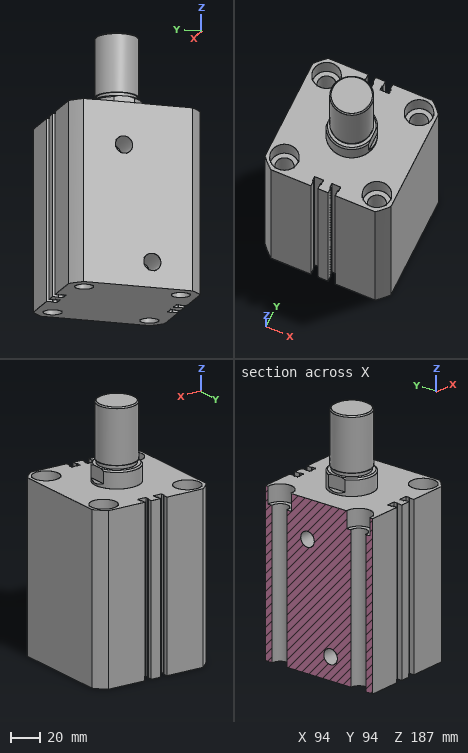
import cadquery as cq

HOUSING_WIDTH = 94.0
HOUSING_HEIGHT = 129.0
CORNER_CIRCLE_DIAMETER = 122.1

MOUNT_PITCH = 69.0
MOUNT_DIAMETER = 12.9
COUNTERBORE_DIAMETER = 20.0
COUNTERBORE_DEPTH = 13.0

GROOVE_PITCH = 12.9
GROOVE_DEPTH = 7.5
GROOVE_MOUTH_WIDTH = 5.2
GROOVE_MOUTH_DEPTH = 4.3
GROOVE_FLOOR_WIDTH = 6.5

PORT_FLOOR_DIAMETER = 10.8
PORT_RIM_DIAMETER = 12.2
PORT_DEPTH = 24.0
PORT_OFFSET = 10.1
UPPER_PORT_DROP = 30.1
LOWER_PORT_HEIGHT = 18.0

OVERALL_HEIGHT = 187.0
COLLAR_DIAMETER = 35.2
COLLAR_HEIGHT = 13.0
COLLAR_CHAMFER = 1.1
NECK_DIAMETER = 28.0
NECK_HEIGHT = 2.8
STUD_DIAMETER = 30.0
STUD_CHAMFER = 1.0
FLAT_SPACING = 32.0
FLAT_HEIGHT = 10.1


def housing_block():
    """Square block whose corners are arcs around the housing axis."""
    block = cq.Workplane("XY").rect(HOUSING_WIDTH, HOUSING_WIDTH).extrude(HOUSING_HEIGHT)
    corner_circle = cq.Workplane("XY").circle(CORNER_CIRCLE_DIAMETER / 2)
    return block.intersect(corner_circle.extrude(HOUSING_HEIGHT))


def groove_cutters():
    """Four full-height T grooves, open towards +Y and -Y."""
    half = HOUSING_WIDTH / 2
    floor_depth = GROOVE_DEPTH - GROOVE_MOUTH_DEPTH
    cutters = cq.Workplane("XY")
    for side in (-1, 1):
        mouth_y = side * (half - GROOVE_DEPTH / 2)
        floor_y = side * (half - GROOVE_MOUTH_DEPTH - floor_depth / 2)
        for x in (-GROOVE_PITCH / 2, GROOVE_PITCH / 2):
            mouth = cq.Workplane("XY").center(x, mouth_y).rect(GROOVE_MOUTH_WIDTH, GROOVE_DEPTH)
            floor = cq.Workplane("XY").center(x, floor_y).rect(GROOVE_FLOOR_WIDTH, floor_depth)
            cutters = cutters.union(mouth.extrude(HOUSING_HEIGHT).union(floor.extrude(HOUSING_HEIGHT)))
    return cutters


def port_cutter(y, z):
    """Blind port from the -X side, tapering evenly from rim to floor."""
    face = cq.Workplane("YZ", origin=(-HOUSING_WIDTH / 2, y, z))
    rim = face.circle(PORT_RIM_DIAMETER / 2)
    return rim.workplane(offset=PORT_DEPTH).circle(PORT_FLOOR_DIAMETER / 2).loft(ruled=True)


def make_housing():
    mount_holes = cq.Workplane("XY", origin=(0, 0, HOUSING_HEIGHT)).rect(
        MOUNT_PITCH, MOUNT_PITCH, forConstruction=True
    )
    return (
        housing_block()
        .cut(groove_cutters())
        .cut(mount_holes.vertices().circle(MOUNT_DIAMETER / 2).extrude(-HOUSING_HEIGHT))
        .cut(mount_holes.vertices().circle(COUNTERBORE_DIAMETER / 2).extrude(-COUNTERBORE_DEPTH))
        .cut(port_cutter(PORT_OFFSET, HOUSING_HEIGHT - UPPER_PORT_DROP))
        .cut(port_cutter(-PORT_OFFSET, LOWER_PORT_HEIGHT))
    )


def flats_envelope(collar_top):
    """Prism that leaves two wrench flats facing X, each ending in a 45 degree slope."""
    half_flat = FLAT_SPACING / 2
    half_collar = COLLAR_DIAMETER / 2
    flat_bottom = collar_top - FLAT_HEIGHT
    slope_bottom = flat_bottom - (half_collar - half_flat)
    right_side = [
        (half_collar, HOUSING_HEIGHT),
        (half_collar, slope_bottom),
        (half_flat, flat_bottom),
        (half_flat, collar_top),
    ]
    left_side = [(-x, z) for x, z in reversed(right_side)]
    outline = cq.Workplane("XZ").polyline(right_side + left_side).close()
    return outline.extrude(half_collar, both=True)


def make_rod():
    """Stepped rod standing on the housing: flatted collar, neck and stud."""
    collar_top = HOUSING_HEIGHT + COLLAR_HEIGHT
    stud_height = OVERALL_HEIGHT - collar_top - NECK_HEIGHT
    collar = cq.Workplane("XY").workplane(offset=HOUSING_HEIGHT).circle(COLLAR_DIAMETER / 2)
    collar = collar.extrude(COLLAR_HEIGHT).faces(">Z").chamfer(COLLAR_CHAMFER)
    collar = collar.intersect(flats_envelope(collar_top))
    neck = cq.Workplane("XY").workplane(offset=collar_top).circle(NECK_DIAMETER / 2).extrude(NECK_HEIGHT)
    stud = cq.Workplane("XY").workplane(offset=collar_top + NECK_HEIGHT).circle(STUD_DIAMETER / 2)
    stud = stud.extrude(stud_height).faces(">Z").chamfer(STUD_CHAMFER)
    return collar.union(neck).union(stud)


housing = make_housing()
rod = make_rod()

result = cq.Compound.makeCompound([housing.val(), rod.val()])